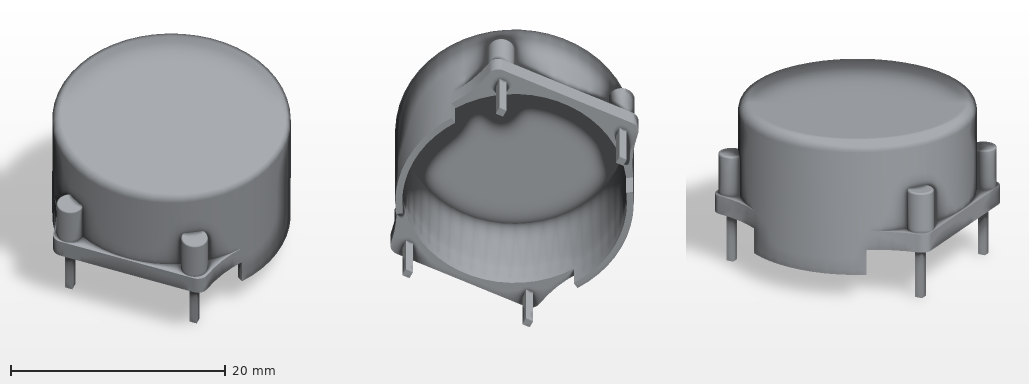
import cadquery as cq
import math

housing_height = 13.3
flange_bottom = 2.5
flange_thickness = 1.82
flange_top = flange_bottom + flange_thickness
post_top = 8.29
pin_length = 5.0

housing_radius = 22.3 / 2
cavity_radius = 21.0 / 2
wall = housing_radius - cavity_radius
top_fillet = 1.0
skirt_half_width = 5.95
skirt_half_angle = math.asin(skirt_half_width / housing_radius)

flange_half_length = 11.35
flange_side_radius = 12.0
flange_corner_radius = 1.0

pin_x = 6.25
pin_y = 9.99
post_radius = 1.25
post_fillet = 0.18
pin_width = 0.75
pin_centres = [(sx * pin_x, sy * pin_y) for sx in (-1, 1) for sy in (-1, 1)]


def flange_plate():
    """Plate whose concave sides run tangentially out of the cup at the skirt edges."""
    tangent_x = math.sqrt(housing_radius**2 - skirt_half_width**2)
    centre_scale = (housing_radius + flange_side_radius) / housing_radius
    side_centre_x = tangent_x * centre_scale
    side_centre_y = skirt_half_width * centre_scale

    def side_x(y):
        return side_centre_x - math.sqrt(flange_side_radius**2 - (y - side_centre_y) ** 2)

    corner_x = side_x(flange_half_length)
    mid_y = (skirt_half_width + flange_half_length) / 2
    mid_x = side_x(mid_y)
    plate = (
        cq.Workplane("XY", origin=(0, 0, flange_bottom))
        .moveTo(-corner_x, flange_half_length)
        .lineTo(corner_x, flange_half_length)
        .threePointArc((mid_x, mid_y), (tangent_x, skirt_half_width))
        .threePointArc((housing_radius, 0), (tangent_x, -skirt_half_width))
        .threePointArc((mid_x, -mid_y), (corner_x, -flange_half_length))
        .lineTo(-corner_x, -flange_half_length)
        .threePointArc((-mid_x, -mid_y), (-tangent_x, -skirt_half_width))
        .threePointArc((-housing_radius, 0), (-tangent_x, skirt_half_width))
        .threePointArc((-mid_x, mid_y), (-corner_x, flange_half_length))
        .close()
        .extrude(flange_thickness)
    )
    corners = plate.edges("|Z").edges(">Y or <Y")
    return corners.fillet(flange_corner_radius)


def cup_shell():
    """Solid cup with a rounded top, cut back to the flange between two skirts with radial ends."""
    cup = cq.Workplane("XY").circle(housing_radius).extrude(housing_height)
    cup = cup.faces(">Z").edges().fillet(top_fillet)
    gap_x = 2 * housing_radius
    gap_y = gap_x * math.tan(skirt_half_angle)
    for side in (-1, 1):
        gap = (
            cq.Workplane("XY")
            .polyline([(0, 0), (gap_x, side * gap_y), (-gap_x, side * gap_y)])
            .close()
            .extrude(flange_bottom)
        )
        cup = cup.cut(gap)
    return cup


def corner_posts():
    """Round posts standing on the flange, with rounded upper rims."""
    posts = (
        cq.Workplane("XY", origin=(0, 0, flange_top))
        .pushPoints(pin_centres)
        .circle(post_radius)
        .extrude(post_top - flange_top)
    )
    return posts.faces(">Z").edges().fillet(post_fillet)


def make_housing():
    """Cup, flange and posts in one piece, hollowed from below."""
    cavity = cq.Workplane("XY").circle(cavity_radius).extrude(housing_height - wall)
    return cup_shell().union(flange_plate()).union(corner_posts()).cut(cavity)


def make_pin(x, y):
    """Square pin hanging from the underside of the flange."""
    return cq.Workplane("XY", origin=(x, y, flange_bottom)).rect(pin_width, pin_width).extrude(-pin_length)


housing = make_housing()
pins = [make_pin(x, y) for x, y in pin_centres]

result = cq.Compound.makeCompound([*housing.solids().vals(), *[pin.val() for pin in pins]])